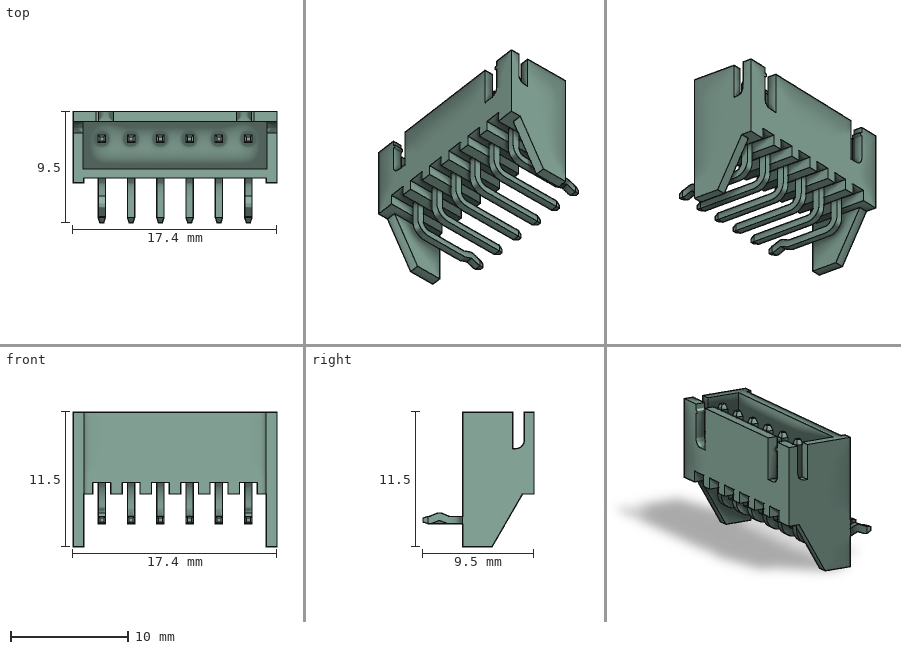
import cadquery as cq
import math


PIN_COUNT = 6
PITCH = 2.5
PIN_SIZE = 0.64
PIN_Y = -2.35
PIN_TOP = 11.3
LEAD_Z = 2.3
LEAD_END_Y = -9.5
TIP_LENGTH = 0.45
TIP_FLAT = 0.34
BEND_INNER_RADIUS = 0.68
BEND_OUTER_RADIUS = BEND_INNER_RADIUS + PIN_SIZE

KINK_Y = -8.09
KINK_ANGLE = math.radians(22)
KINK_LEG = 0.665

WIDTH = 17.4
DEPTH = 6.1
HEIGHT = 11.5
BODY_BOTTOM = 4.5
WALL = 0.86
SIDE_PLATE = 0.92
FRONT_FACE_Y = -5.7
FRONT_WALL = 0.8
CAVITY_FLOOR = 6.5
FOOT_BACK_TOP_Y = -1.0
FOOT_BACK_BOTTOM_Y = -3.6

NOTCH_WIDTH = 1.5
NOTCH_HEIGHT = 0.98

SLOT_RADIUS = 0.7
SIDE_SLOT_WIDTH = 0.97
SIDE_SLOT_DEPTH = 3.1
BACK_SLOT_OUTER_X = 6.75
BACK_SLOT_WIDTH = 1.5
BACK_SLOT_DEPTH = 3.7

BUMP_REACH = 0.21
BUMP_BASE = 0.36
BUMP_CREST = 0.2
BUMP_Z = HEIGHT - 0.68
BUMP_FILLET = 0.05


def box(x0, x1, y0, y1, z0, z1):
    """Box between two opposite corners."""
    return cq.Workplane("XY").box(x1 - x0, y1 - y0, z1 - z0, centered=False).translate((x0, y0, z0))


def mirrored(shape):
    """A shape together with its mirror image across the X = 0 plane."""
    return shape.union(shape.mirror("YZ"))


def slot_outline(plane, rounded_edge, plain_edge, depth):
    """Slot open at the housing top, with one bottom corner rounded."""
    bottom = HEIGHT - depth
    toward_plain = math.copysign(1, plain_edge - rounded_edge)
    return (
        cq.Workplane(plane)
        .moveTo(rounded_edge, HEIGHT)
        .lineTo(rounded_edge, bottom + SLOT_RADIUS)
        .radiusArc((rounded_edge + toward_plain * SLOT_RADIUS, bottom), -toward_plain * SLOT_RADIUS)
        .lineTo(plain_edge, bottom)
        .lineTo(plain_edge, HEIGHT)
        .close()
    )


def side_slots():
    outline = slot_outline("YZ", -WALL, -WALL - SIDE_SLOT_WIDTH, SIDE_SLOT_DEPTH)
    return outline.extrude(WIDTH / 2, both=True)


def back_slots():
    plain_edge = BACK_SLOT_OUTER_X - BACK_SLOT_WIDTH
    return mirrored(slot_outline("XZ", BACK_SLOT_OUTER_X, plain_edge, BACK_SLOT_DEPTH).extrude(WALL))


def latch_bumps():
    bump = (
        cq.Workplane("XZ")
        .moveTo(BACK_SLOT_OUTER_X, BUMP_Z - BUMP_BASE / 2)
        .lineTo(BACK_SLOT_OUTER_X - BUMP_REACH, BUMP_Z - BUMP_CREST / 2)
        .lineTo(BACK_SLOT_OUTER_X - BUMP_REACH, BUMP_Z + BUMP_CREST / 2)
        .lineTo(BACK_SLOT_OUTER_X, BUMP_Z + BUMP_BASE / 2)
        .close()
        .extrude(WALL)
    )
    return mirrored(bump.faces("<X").edges("|Y").fillet(BUMP_FILLET))


def blend_bump_roots(housing):
    """Fillet the two root edges of each latch bump."""
    reach_z = BUMP_BASE / 2 + BUMP_FILLET
    for x in (-BACK_SLOT_OUTER_X, BACK_SLOT_OUTER_X):
        root_zone = cq.selectors.BoxSelector(
            (x - BUMP_FILLET, -WALL, BUMP_Z - reach_z),
            (x + BUMP_FILLET, 0, BUMP_Z + reach_z),
        )
        housing = housing.edges("|Y").edges(root_zone).fillet(BUMP_FILLET)
    return housing


def make_housing():
    side_outline = [
        (0, HEIGHT),
        (0, BODY_BOTTOM),
        (FOOT_BACK_TOP_Y, BODY_BOTTOM),
        (FOOT_BACK_BOTTOM_Y, 0),
        (-DEPTH, 0),
        (-DEPTH, HEIGHT),
    ]
    housing = cq.Workplane("YZ").polyline(side_outline).close().extrude(WIDTH / 2, both=True)

    plate_x = WIDTH / 2 - SIDE_PLATE
    housing = housing.cut(box(-plate_x, plate_x, -DEPTH, 0, 0, BODY_BOTTOM))
    housing = housing.cut(box(-plate_x, plate_x, -DEPTH, FRONT_FACE_Y, 0, HEIGHT))

    cavity_x = WIDTH / 2 - WALL
    housing = housing.cut(box(-cavity_x, cavity_x, FRONT_FACE_Y + FRONT_WALL, -WALL, CAVITY_FLOOR, HEIGHT))

    for x in pin_positions:
        notch = box(
            x - NOTCH_WIDTH / 2, x + NOTCH_WIDTH / 2,
            FRONT_FACE_Y, 0,
            BODY_BOTTOM, BODY_BOTTOM + NOTCH_HEIGHT,
        )
        housing = housing.cut(notch)

    housing = housing.cut(side_slots()).cut(back_slots()).union(latch_bumps())
    return blend_bump_roots(housing)


def tapered_tip(plane):
    """Blunt four-sided point that grows along the normal of its base plane."""
    return (
        cq.Workplane(plane)
        .rect(PIN_SIZE, PIN_SIZE)
        .workplane(offset=TIP_LENGTH)
        .rect(TIP_FLAT, TIP_FLAT)
        .loft(ruled=True)
    )


def add_kink_underside(outline):
    """Trace the lower edge of the kink from the tip towards the housing."""
    half = PIN_SIZE / 2
    run = KINK_LEG * math.cos(KINK_ANGLE)
    rise = KINK_LEG * math.sin(KINK_ANGLE)
    swing = PIN_SIZE * math.sin(KINK_ANGLE)
    swung_z = LEAD_Z + half - PIN_SIZE * math.cos(KINK_ANGLE)
    bottom = LEAD_Z - half
    return (
        outline.lineTo(KINK_Y - run - swing, bottom)
        .radiusArc((KINK_Y - run, swung_z), -PIN_SIZE)
        .lineTo(KINK_Y, swung_z + rise)
        .lineTo(KINK_Y + run, swung_z)
        .radiusArc((KINK_Y + run + swing, bottom), -PIN_SIZE)
    )


def add_kink_top(outline):
    """Trace the upper edge of the kink from the housing towards the tip."""
    top = LEAD_Z + PIN_SIZE / 2
    run = KINK_LEG * math.cos(KINK_ANGLE)
    rise = KINK_LEG * math.sin(KINK_ANGLE)
    swing = PIN_SIZE * math.sin(KINK_ANGLE)
    return (
        outline.lineTo(KINK_Y + run + swing, top)
        .lineTo(KINK_Y + swing, top + rise)
        .radiusArc((KINK_Y - swing, top + rise), -PIN_SIZE)
        .lineTo(KINK_Y - run - swing, top)
    )


def make_pin(x, kinked):
    half = PIN_SIZE / 2
    front, back = PIN_Y - half, PIN_Y + half
    bottom, top = LEAD_Z - half, LEAD_Z + half
    post_end = PIN_TOP - TIP_LENGTH
    lead_end = LEAD_END_Y + TIP_LENGTH

    outline = cq.Workplane("YZ").moveTo(lead_end, top).lineTo(lead_end, bottom)
    if kinked:
        outline = add_kink_underside(outline)
    outline = (
        outline.lineTo(back - BEND_OUTER_RADIUS, bottom)
        .radiusArc((back, bottom + BEND_OUTER_RADIUS), -BEND_OUTER_RADIUS)
        .lineTo(back, post_end)
        .lineTo(front, post_end)
        .lineTo(front, top + BEND_INNER_RADIUS)
        .radiusArc((front - BEND_INNER_RADIUS, top), BEND_INNER_RADIUS)
    )
    if kinked:
        outline = add_kink_top(outline)
    pin = outline.close().extrude(half, both=True)

    post_tip = tapered_tip(cq.Plane((0, PIN_Y, post_end), (1, 0, 0), (0, 0, 1)))
    lead_tip = tapered_tip(cq.Plane((0, lead_end, LEAD_Z), (1, 0, 0), (0, -1, 0)))
    return pin.union(post_tip).union(lead_tip).translate((x, 0, 0))


pin_positions = [(i - (PIN_COUNT - 1) / 2) * PITCH for i in range(PIN_COUNT)]
end_positions = (pin_positions[0], pin_positions[-1])

housing = make_housing()
pins = [make_pin(x, kinked=x in end_positions) for x in pin_positions]

for pin in pins:
    housing = housing.cut(pin)

result = cq.Compound.makeCompound([housing.solids().val(), *[pin.solids().val() for pin in pins]])